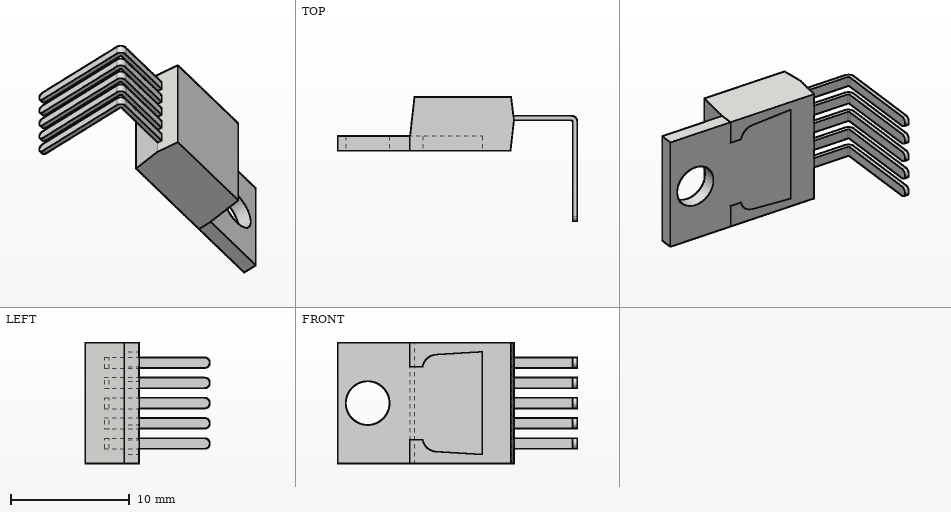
import cadquery as cq

overall_depth = 10.49

package_width = 10.16
tab_thickness = 1.27
hole_diameter = 3.66
hole_x = 2.53
neck_half_width = 3.07
neck_end_x = 7.15
shoulder_x = 8.25
shoulder_half_width = 4.08
shoulder_arc_mid_x = 7.5
shoulder_arc_mid_half_width = 3.73
pad_end_x = 12.17
pad_end_half_width = 4.32

housing_depth = 4.55
housing_start_x = 6.09
housing_back_start_x = 6.46
housing_end_x = 14.55
housing_back_end_x = 14.6
parting_x = 14.84
parting_y = 2.54

lead_count = 5
lead_pitch = 1.7
lead_width = 0.91
lead_thickness = 0.4
lead_back_y = 2.96
lead_outer_x = 20.17
lead_tip_y = housing_depth - overall_depth
bend_inner_radius = 0.12
bend_outer_radius = bend_inner_radius + lead_thickness
lead_front_y = lead_back_y - lead_thickness
lead_inner_x = lead_outer_x - lead_thickness

half_width = package_width / 2


def make_tab():
    """Plate with a narrow neck, a pad that widens beyond it, and a mounting hole."""
    plate = (
        cq.Workplane("XZ")
        .moveTo(0, -half_width)
        .lineTo(housing_start_x, -half_width)
        .lineTo(housing_start_x, -neck_half_width)
        .lineTo(neck_end_x, -neck_half_width)
        .threePointArc(
            (shoulder_arc_mid_x, -shoulder_arc_mid_half_width),
            (shoulder_x, -shoulder_half_width),
        )
        .lineTo(pad_end_x, -pad_end_half_width)
        .lineTo(pad_end_x, pad_end_half_width)
        .lineTo(shoulder_x, shoulder_half_width)
        .threePointArc(
            (shoulder_arc_mid_x, shoulder_arc_mid_half_width),
            (neck_end_x, neck_half_width),
        )
        .lineTo(housing_start_x, neck_half_width)
        .lineTo(housing_start_x, half_width)
        .lineTo(0, half_width)
        .close()
        .extrude(-tab_thickness)
    )
    hole = (
        cq.Workplane("XZ")
        .center(hole_x, 0)
        .circle(hole_diameter / 2)
        .extrude(-tab_thickness)
    )
    return plate.cut(hole).solids()


def make_housing_blank():
    """Full housing block, before the tab's recess is cut into its front."""
    return (
        cq.Workplane("XY")
        .workplane(offset=-half_width)
        .moveTo(housing_start_x, 0)
        .lineTo(housing_end_x, 0)
        .lineTo(parting_x, parting_y)
        .lineTo(housing_back_end_x, housing_depth)
        .lineTo(housing_back_start_x, housing_depth)
        .lineTo(housing_start_x, tab_thickness)
        .close()
        .extrude(package_width)
    )


def make_lead(center_z, housing_blank):
    """Round-tipped bent strip whose root is trimmed to the end face of the housing."""
    tip_radius = lead_width / 2
    strip = (
        cq.Workplane("XY")
        .workplane(offset=center_z - tip_radius)
        .moveTo(housing_back_end_x, lead_front_y)
        .lineTo(lead_inner_x - bend_inner_radius, lead_front_y)
        .radiusArc((lead_inner_x, lead_front_y - bend_inner_radius), bend_inner_radius)
        .lineTo(lead_inner_x, lead_tip_y)
        .lineTo(lead_outer_x, lead_tip_y)
        .lineTo(lead_outer_x, lead_back_y - bend_outer_radius)
        .radiusArc((lead_outer_x - bend_outer_radius, lead_back_y), -bend_outer_radius)
        .lineTo(housing_back_end_x, lead_back_y)
        .close()
        .extrude(lead_width)
    )
    face_outline = (
        cq.Workplane("YZ")
        .moveTo(lead_back_y, center_z + tip_radius)
        .lineTo(lead_tip_y + tip_radius, center_z + tip_radius)
        .threePointArc((lead_tip_y, center_z), (lead_tip_y + tip_radius, center_z - tip_radius))
        .lineTo(lead_back_y, center_z - tip_radius)
        .close()
        .extrude(lead_outer_x)
    )
    rounded = strip.intersect(face_outline)
    return rounded.cut(housing_blank).solids()


tab = make_tab()
housing_blank = make_housing_blank()
housing = housing_blank.cut(tab).solids()

leads = []
for index in range(lead_count):
    center_z = (index - (lead_count - 1) / 2) * lead_pitch
    leads.append(make_lead(center_z, housing_blank).val())

result = cq.Compound.makeCompound([tab.val(), housing.val(), *leads])